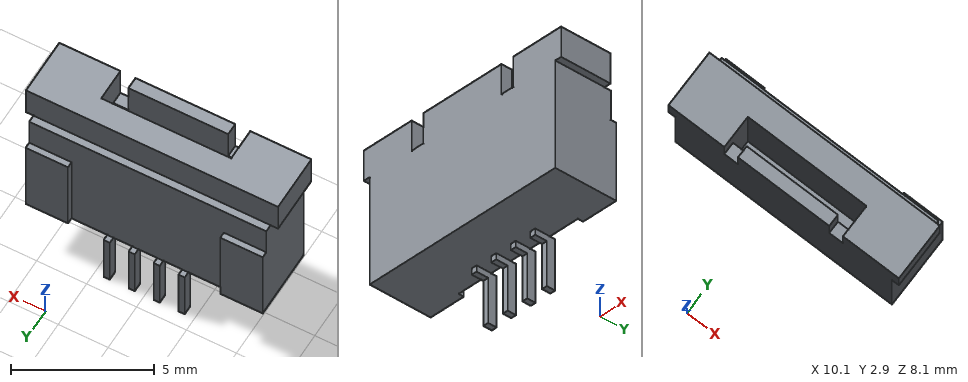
import cadquery as cq

body_width = 9.5
body_depth = 2.65
body_height = 5.9

rim_width = 10.1
rim_depth = 2.35
rim_height = 1.3
rim_bottom = body_height - rim_height

overall_depth = 2.9

pad_width = 1.7
pad_height = 3.35

slot_width = 5.2
slot_front = 0.5
slot_back = 1.35
slot_depth = 4.6

tongue_width = 4.0
notch_width = (slot_width - tongue_width) / 2
notch_depth = rim_height

pin_count = 4
pin_pitch = 1.0
pin_width = 0.25
pin_length = 2.2
pin_thickness = 0.4
foot_length = 0.95
foot_height = 0.27


def block(width, depth, height, x_center, y_front, z_bottom):
    """Box centred on x_center, running back from y_front and up from z_bottom."""
    box = cq.Workplane("XY").box(width, depth, height, centered=(True, False, False))
    return box.translate((x_center, y_front, z_bottom))


def make_housing():
    """Body with the wider, shallower rim on top."""
    lower = block(body_width, body_depth, rim_bottom, 0, 0, 0)
    rim = block(rim_width, rim_depth, rim_height, 0, 0, rim_bottom)
    return lower.union(rim)


def make_pad(side):
    """Rear pad on the left (side = -1) or right (side = 1)."""
    x_center = side * (body_width - pad_width) / 2
    return block(pad_width, overall_depth - body_depth, pad_height, x_center, body_depth, 0)


def make_slot():
    """Volume of the blind mating slot."""
    return block(slot_width, slot_back - slot_front, slot_depth, 0, slot_front, body_height - slot_depth)


def make_notch(side):
    """Volume of the notch beside the tongue, from the front face into the slot."""
    x_center = side * (tongue_width + notch_width) / 2
    return block(notch_width, slot_front, notch_depth, x_center, 0, body_height - notch_depth)


def make_pin(x_center):
    """Pin with a foot against the bottom of the body and a leg running down at the rear."""
    foot = block(pin_width, foot_length, foot_height, x_center, overall_depth - foot_length, -foot_height)
    leg = block(pin_width, pin_thickness, pin_length, x_center, overall_depth - pin_thickness, -pin_length)
    return foot.union(leg)


result = make_housing().cut(make_slot())
for side in (-1, 1):
    result = result.union(make_pad(side)).cut(make_notch(side))
for index in range(pin_count):
    result = result.union(make_pin((index - (pin_count - 1) / 2) * pin_pitch))